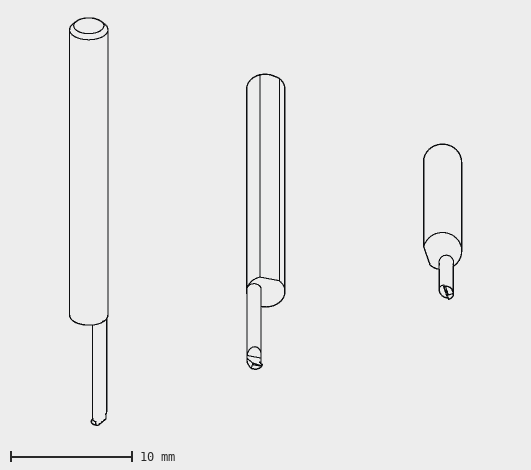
import cadquery as cq

total_length = 38.1
shank_diameter = 3.15
depth_across_flat = 2.95
neck_length = 10.17
neck_diameter = 1.2
end_chamfer_width = 0.35
end_chamfer_height = 0.4

runout_start = 1.6
tip_bottom = 0.1
heel_chamfer_width = 0.5

notch_height = 0.45
notch_end_x = 0.9
tooth_overhang = 0.1
tooth_edge_height = 0.15
tooth_point_setback = 0.1
tooth_flare_angle = 37.0
clearance_length = 0.15

shank_radius = shank_diameter / 2
neck_radius = neck_diameter / 2
neck_x = shank_radius - neck_radius
neck_left = neck_x - neck_radius
heel_x = shank_radius - heel_chamfer_width


def make_shank():
    """Round shank with a conical end and a flat along its +Y side."""
    profile = [
        (0, neck_length),
        (shank_radius, neck_length),
        (shank_radius, total_length - end_chamfer_height),
        (shank_radius - end_chamfer_width, total_length),
        (0, total_length),
    ]
    shank = cq.Workplane("XZ").polyline(profile).close().revolve(360, (0, 0), (0, 1))
    flat_y = depth_across_flat - shank_radius
    flat_cutter = cq.Workplane("XY").box(
        shank_diameter, shank_radius, total_length, centered=(True, False, False)
    )
    return shank.cut(flat_cutter.translate((0, flat_y, 0)))


def make_neck():
    """Eccentric neck, tangent to the shank side and halved at its tip."""
    neck = (
        cq.Workplane("XY", origin=(neck_x, 0, tip_bottom))
        .circle(neck_radius)
        .extrude(neck_length - tip_bottom)
    )
    half_cutter = (
        cq.Workplane("YZ")
        .polyline([
            (0, 0),
            (0, runout_start - neck_radius),
            (neck_diameter, runout_start + neck_radius),
            (neck_diameter, 0),
        ])
        .close()
        .extrude(shank_diameter)
    )
    heel_cutter = (
        cq.Workplane("XZ")
        .polyline([
            (heel_x, tip_bottom),
            (shank_radius, tip_bottom + heel_chamfer_width),
            (shank_radius, tip_bottom),
        ])
        .close()
        .extrude(neck_radius, both=True)
    )
    notch = cq.Workplane("XY").box(
        notch_end_x - neck_left, neck_diameter, notch_height, centered=(False, True, False)
    ).translate((neck_left, 0, 0))
    return neck.cut(half_cutter).cut(heel_cutter).cut(notch)


def make_tooth():
    """Pointed tooth with a flared flank and clearance behind its Y = 0 face."""
    outer_x = neck_left - tooth_overhang
    blank = (
        cq.Workplane("XZ")
        .polyline([
            (outer_x, tooth_edge_height),
            (outer_x + tooth_point_setback, 0),
            (heel_x, tip_bottom),
            (notch_end_x, notch_height),
            (outer_x, notch_height),
        ])
        .close()
        .extrude(neck_radius)
    )
    envelope = (
        cq.Workplane("XY", origin=(neck_x - tooth_overhang, 0, 0))
        .circle(neck_radius)
        .extrude(tooth_edge_height)
        .faces(">Z")
        .workplane()
        .circle(neck_radius)
        .extrude(notch_height - tooth_edge_height, taper=tooth_flare_angle)
    )
    clearance_cutter = (
        cq.Workplane("YZ")
        .polyline([
            (0, 0),
            (-clearance_length, tip_bottom),
            (-neck_diameter, tip_bottom),
            (-neck_diameter, 0),
        ])
        .close()
        .extrude(shank_diameter)
    )
    return blank.intersect(envelope).cut(clearance_cutter)


result = make_shank().union(make_neck()).union(make_tooth())